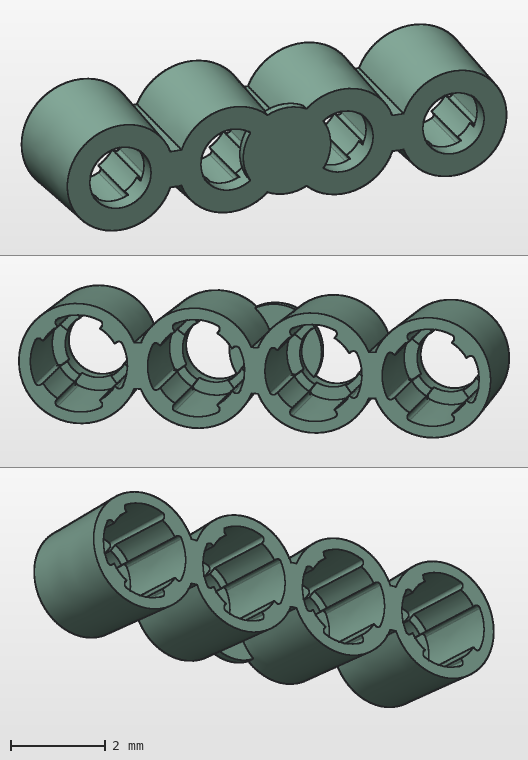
import cadquery as cq
import math

length = 2.4
sleeve_count = 4
pitch = 2.54
sleeve_radius = 2.6 / 2
draft_angle = 2.0
web_height = 1.0

hole_diameter = 1.4
bore_diameter = 1.8
bore_depth = 1.8
slot_count = 4
slot_depth = 2.0
slot_radius = 1.05
slot_corner_radius = 0.08
slot_angle = 74.0
slot_apex = 0.17

disc_diameter = 2.0
disc_thickness = 0.2

first_center = -pitch * (sleeve_count - 1) / 2
centers = [first_center + i * pitch for i in range(sleeve_count)]


def make_body():
    """Drafted sleeves joined by a drafted web."""
    web_span = centers[-1] - centers[0]
    body = cq.Workplane("YZ").rect(web_span, web_height).extrude(length, taper=draft_angle)
    for y in centers:
        sleeve = cq.Workplane("YZ").center(y, 0).circle(sleeve_radius).extrude(length, taper=draft_angle)
        body = body.union(sleeve)
    return body


def make_slot():
    """Sector pointing along +Z, with straight sides and a drafted round outer wall."""
    half_width = (slot_radius - slot_apex) * math.tan(math.radians(slot_angle / 2))
    wedge = (
        cq.Workplane("YZ")
        .polyline([(0, slot_apex), (half_width, slot_radius), (-half_width, slot_radius)])
        .close()
        .extrude(slot_depth)
    )
    outer_cone = cq.Workplane("YZ").circle(slot_radius).extrude(slot_depth, taper=draft_angle)
    slot = outer_cone.intersect(wedge)
    return slot.faces("%CONE").edges("not %CIRCLE").fillet(slot_corner_radius)


def make_cavity():
    """Through hole, wider bore and the ring of slots of one sleeve."""
    hole = cq.Workplane("YZ").circle(hole_diameter / 2).extrude(length)
    bore = cq.Workplane("YZ").circle(bore_diameter / 2).extrude(bore_depth)
    cavity = hole.union(bore)
    slot = make_slot()
    for i in range(slot_count):
        cavity = cavity.union(slot.rotate((0, 0, 0), (1, 0, 0), i * 360 / slot_count))
    return cavity


def make_disc():
    """Thin disc that partly covers the two middle holes."""
    start = length - disc_thickness
    return cq.Workplane("YZ", origin=(start, 0, 0)).circle(disc_diameter / 2).extrude(disc_thickness)


result = make_body()
cavity = make_cavity()
for y in centers:
    result = result.cut(cavity.translate((0, y, 0)))
result = result.union(make_disc())